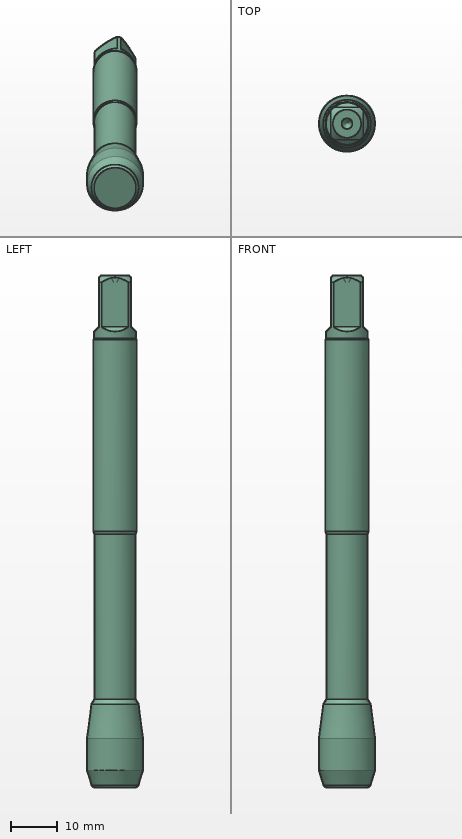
import cadquery as cq
import math

TOTAL_LENGTH = 110.0
HEAD_LENGTH = 19.0
SHANK_BOTTOM = 54.5
SHANK_TOP = 96.5

HEAD_DIAMETER = 12.1
HEAD_BOTTOM_DIAMETER = 9.0
HEAD_LEAD_DIAMETER = 10.1
HEAD_LEAD_START = 0.5
HEAD_LEAD_END = 3.7
HEAD_BAND_TOP = 10.7
HEAD_SHOULDER_DIAMETER = 10.2
HEAD_SHOULDER_HEIGHT = 17.9

NECK_DIAMETER = 8.9
SHANK_DIAMETER = 9.4
SHANK_TAPER_LENGTH = 0.7
SHANK_TOP_CHAMFER = 0.3
COLLAR_DIAMETER = 9.0

SQUARE_WIDTH = 6.9
SQUARE_BOTTOM = 99.0
TOP_FACE_DIAMETER = 6.0

CENTRE_MOUTH_DIAMETER = 2.3
CENTRE_CONE_ANGLE = 60


def revolve_profile(stations):
    """Revolve a solid about Z from (diameter, height) stations listed upwards."""
    outline = [(0, stations[0][1])]
    outline += [(diameter / 2, height) for diameter, height in stations]
    outline += [(0, stations[-1][1])]
    return cq.Workplane("XZ").polyline(outline).close().revolve(360, (0, 0, 0), (0, 1, 0))


def make_head():
    """Threaded head, from the tapered lead at the bottom to the neck."""
    return revolve_profile([
        (HEAD_BOTTOM_DIAMETER, 0),
        (HEAD_LEAD_DIAMETER, HEAD_LEAD_START),
        (HEAD_DIAMETER, HEAD_LEAD_END),
        (HEAD_DIAMETER, HEAD_BAND_TOP),
        (HEAD_SHOULDER_DIAMETER, HEAD_SHOULDER_HEIGHT),
        (NECK_DIAMETER, HEAD_LENGTH),
    ])


def make_flat_cutter():
    """Tool for the +X flat of the square: a vertical wall above a 45 degree floor."""
    flat = SQUARE_WIDTH / 2
    reach = COLLAR_DIAMETER
    return (
        cq.Workplane("XZ")
        .moveTo(flat, SQUARE_BOTTOM)
        .lineTo(reach, SQUARE_BOTTOM - (reach - flat))
        .lineTo(reach, TOTAL_LENGTH)
        .lineTo(flat, TOTAL_LENGTH)
        .close()
        .extrude(COLLAR_DIAMETER, both=True)
        .intersect(
            cq.Workplane("XY", origin=(0, 0, SHANK_TOP))
            .rect(2 * reach, 2 * reach)
            .extrude(TOTAL_LENGTH - SHANK_TOP)
        )
    )


def make_centre_hole():
    """Tool for the conical centre hole, pointing down."""
    depth = CENTRE_MOUTH_DIAMETER / 2 / math.tan(math.radians(CENTRE_CONE_ANGLE / 2))
    return cq.Workplane(
        cq.Solid.makeCone(0, CENTRE_MOUTH_DIAMETER / 2, depth, pnt=cq.Vector(0, 0, TOTAL_LENGTH - depth))
    )


def make_shank():
    """Neck, shank and driving square, standing on the head."""
    top_chamfer = (COLLAR_DIAMETER - TOP_FACE_DIAMETER) / 2
    shank = revolve_profile([
        (NECK_DIAMETER, HEAD_LENGTH),
        (NECK_DIAMETER, SHANK_BOTTOM),
        (SHANK_DIAMETER, SHANK_BOTTOM + SHANK_TAPER_LENGTH),
        (SHANK_DIAMETER, SHANK_TOP - SHANK_TOP_CHAMFER),
        (COLLAR_DIAMETER, SHANK_TOP),
        (COLLAR_DIAMETER, TOTAL_LENGTH - top_chamfer),
        (TOP_FACE_DIAMETER, TOTAL_LENGTH),
    ])
    for angle in (0, 90, 180, 270):
        shank = shank.cut(make_flat_cutter().rotate((0, 0, 0), (0, 0, 1), angle))
    return shank.cut(make_centre_hole())


head = make_head()
shank = make_shank()
result = cq.Compound.makeCompound([head.val(), shank.val()])